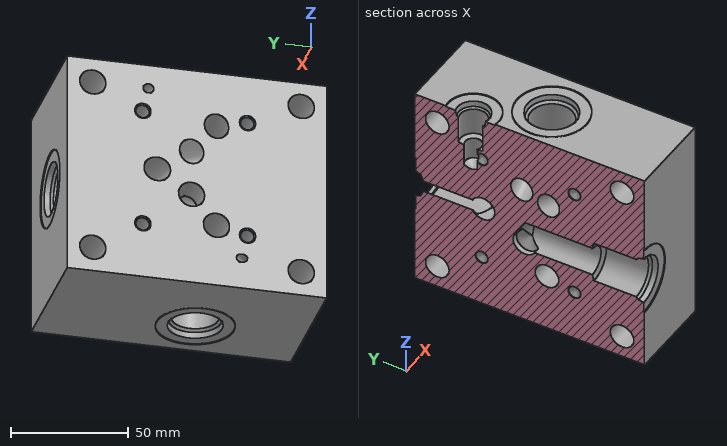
import cadquery as cq
import math

WIDTH, LENGTH, HEIGHT = 62.0, 114.3, 101.6
VALVE_FACE_X = -WIDTH / 2
FRONT_Y, BACK_Y = -LENGTH / 2, LENGTH / 2
BOTTOM_Z, TOP_Z = -HEIGHT / 2, HEIGHT / 2
INWARD = cq.Vector(1, 0, 0)

CORNER_DIAMETER = 11.4
CORNER_SPACING_Y, CORNER_SPACING_Z = 91.8, 79.2

VALVE_Y, VALVE_Z = 0.8, 1.6
BOLT_SPACING_Y, BOLT_SPACING_Z = 46.1, 54.0
BOLT_DRILL, BOLT_MOUTH = 6.0, 7.1
BOLT_DEPTH = 20.0

PASSAGE_DRILL, SLANTED_DRILL, PRESSURE_DRILL = 11.4, 10.6, 11.2
WORK_Y, WORK_SPACING_Z = 2.4, 20.6
TANK_Y, TANK_SPACING_Z = -8.6, 47.5
PRESSURE_Y = 17.5
LOWER_WORK_DEPTH, LOWER_TANK_DEPTH = 22.5, 38.9
UPPER_WORK_DEPTH, UPPER_TANK_DEPTH = 39.4, 41.1
PRESSURE_DEPTH = 29.7
UPPER_WORK_DIRECTION = cq.Vector(1, 0.075, 0.42)
UPPER_TANK_DIRECTION = cq.Vector(1, -0.04, -0.42)
PRESSURE_DIRECTION = cq.Vector(1, 0.29, 0)

UPPER_PILOT_Y, UPPER_PILOT_Z = 21.4, 39.7
UPPER_PILOT_DRILL, UPPER_PILOT_DEPTH = 4.3, 20.6
UPPER_PILOT_DIRECTION = cq.Vector(1, 0.36, -0.1)
LOWER_PILOT_Y, LOWER_PILOT_Z = -19.8, -36.5
LOWER_PILOT_DRILL, LOWER_PILOT_DEPTH = 3.9, 9.1
LOWER_PILOT_DIRECTION = cq.Vector(1, -0.75, 0)

SPOTFACE_DEPTH, SEAT_DEPTH = 0.5, 2.5
SEAT_HALF_ANGLE = math.radians(12)
DRILL_HALF_ANGLE = math.radians(59)
SHOULDER_HALF_ANGLE = math.radians(75)
LARGE_SIZES = (34.1, 23.8, 20.3)
SMALL_SIZES = (25.0, 15.7, 12.9)
LARGE_BORE_DEPTH, SMALL_BORE_DEPTH = 25.1, 17.1

FRONT_PORT_X, FRONT_PORT_Z = VALVE_FACE_X + 19.9, -4.6
FRONT_DRILL, FRONT_DRILL_DEPTH = 14.3, 59.4
TOP_PORT_X, TOP_PORT_Y = VALVE_FACE_X + 39.7, 0.8
TANK_PORT_X, TANK_PORT_Y = TOP_PORT_X, -9.4
TANK_BORE_DEPTH = 19.4
TANK_DRILL, TANK_DRILL_DEPTH = 17.1, 57.2
BACK_PORT_X, BACK_PORT_Z = VALVE_FACE_X + 29.7, VALVE_Z
BACK_BORE_DEPTH = 30.5
PILOT_PORT_X, PILOT_PORT_Y = VALVE_FACE_X + 22.3, 29.4
PILOT_PORT_DRILL, PILOT_PORT_DRILL_DEPTH = 8.0, 28.6


def point_height(radius, half_angle):
    """Height of the cone a drill of this radius leaves at the bottom of a hole."""
    return radius / math.tan(half_angle)


def revolved(start, direction, profile):
    """Solid of revolution from (radius, depth) points, depth running along direction from start."""
    solid = cq.Workplane("XZ").polyline(profile).close().revolve(360, (0, 0), (0, 1)).val()
    return solid.moved(cq.Location(cq.Plane(start, normal=direction)))


def drilled_hole(start, direction, diameter, depth):
    """Blind hole with a drill point; it also runs outwards so that a slanted one opens fully."""
    radius = diameter / 2
    tip = depth + point_height(radius, DRILL_HALF_ANGLE)
    return revolved(start, direction, [(0, -radius), (radius, -radius), (radius, depth), (0, tip)])


def valve_face_hole(y, z, direction, diameter, depth):
    return drilled_hole(cq.Vector(VALVE_FACE_X, y, z), direction, diameter, depth)


def bolt_hole(y, z):
    drill_radius, mouth_radius = BOLT_DRILL / 2, BOLT_MOUTH / 2
    chamfer = mouth_radius - drill_radius
    tip = BOLT_DEPTH + point_height(drill_radius, DRILL_HALF_ANGLE)
    profile = [(0, 0), (mouth_radius, 0), (drill_radius, chamfer), (drill_radius, BOLT_DEPTH), (0, tip)]
    return revolved(cq.Vector(VALVE_FACE_X, y, z), INWARD, profile)


def threaded_port(start, direction, sizes, bore_depth, bottom_half_angle):
    spotface_radius, seat_radius, bore_radius = (diameter / 2 for diameter in sizes)
    seat_end_radius = seat_radius - SEAT_DEPTH * math.tan(SEAT_HALF_ANGLE)
    seat_end = SPOTFACE_DEPTH + SEAT_DEPTH
    profile = [
        (0, 0),
        (spotface_radius, 0),
        (spotface_radius, SPOTFACE_DEPTH),
        (seat_radius, SPOTFACE_DEPTH),
        (seat_end_radius, seat_end),
        (bore_radius, seat_end + seat_end_radius - bore_radius),
        (bore_radius, bore_depth),
        (0, bore_depth + point_height(bore_radius, bottom_half_angle)),
    ]
    return revolved(start, direction, profile)


def bolt_holes():
    return [
        bolt_hole(VALVE_Y + side_y * BOLT_SPACING_Y / 2, VALVE_Z + side_z * BOLT_SPACING_Z / 2)
        for side_y in (-1, 1)
        for side_z in (-1, 1)
    ]


def flow_passages():
    work, tank = WORK_SPACING_Z / 2, TANK_SPACING_Z / 2
    return [
        valve_face_hole(WORK_Y, VALVE_Z - work, INWARD, PASSAGE_DRILL, LOWER_WORK_DEPTH),
        valve_face_hole(WORK_Y, VALVE_Z + work, UPPER_WORK_DIRECTION, SLANTED_DRILL, UPPER_WORK_DEPTH),
        valve_face_hole(TANK_Y, VALVE_Z - tank, INWARD, PASSAGE_DRILL, LOWER_TANK_DEPTH),
        valve_face_hole(TANK_Y, VALVE_Z + tank, UPPER_TANK_DIRECTION, SLANTED_DRILL, UPPER_TANK_DEPTH),
        valve_face_hole(PRESSURE_Y, VALVE_Z, PRESSURE_DIRECTION, PRESSURE_DRILL, PRESSURE_DEPTH),
    ]


def pilot_passages():
    upper = cq.Vector(VALVE_FACE_X, UPPER_PILOT_Y, UPPER_PILOT_Z)
    lower = cq.Vector(VALVE_FACE_X, LOWER_PILOT_Y, LOWER_PILOT_Z)
    return [
        drilled_hole(upper, UPPER_PILOT_DIRECTION, UPPER_PILOT_DRILL, UPPER_PILOT_DEPTH),
        drilled_hole(lower, LOWER_PILOT_DIRECTION, LOWER_PILOT_DRILL, LOWER_PILOT_DEPTH),
    ]


def ports():
    front = cq.Vector(FRONT_PORT_X, FRONT_Y, FRONT_PORT_Z)
    back = cq.Vector(BACK_PORT_X, BACK_Y, BACK_PORT_Z)
    top = cq.Vector(TOP_PORT_X, TOP_PORT_Y, TOP_Z)
    pilot = cq.Vector(PILOT_PORT_X, PILOT_PORT_Y, TOP_Z)
    tank = cq.Vector(TANK_PORT_X, TANK_PORT_Y, BOTTOM_Z)
    rearward, forward = cq.Vector(0, 1, 0), cq.Vector(0, -1, 0)
    down, up = cq.Vector(0, 0, -1), cq.Vector(0, 0, 1)
    return [
        threaded_port(front, rearward, LARGE_SIZES, LARGE_BORE_DEPTH, SHOULDER_HALF_ANGLE),
        drilled_hole(front, rearward, FRONT_DRILL, FRONT_DRILL_DEPTH),
        threaded_port(back, forward, LARGE_SIZES, BACK_BORE_DEPTH, DRILL_HALF_ANGLE),
        threaded_port(top, down, LARGE_SIZES, LARGE_BORE_DEPTH, DRILL_HALF_ANGLE),
        threaded_port(pilot, down, SMALL_SIZES, SMALL_BORE_DEPTH, SHOULDER_HALF_ANGLE),
        drilled_hole(pilot, down, PILOT_PORT_DRILL, PILOT_PORT_DRILL_DEPTH),
        threaded_port(tank, up, LARGE_SIZES, TANK_BORE_DEPTH, SHOULDER_HALF_ANGLE),
        drilled_hole(tank, up, TANK_DRILL, TANK_DRILL_DEPTH),
    ]


result = (
    cq.Workplane()
    .box(WIDTH, LENGTH, HEIGHT)
    .faces("<X")
    .workplane()
    .rect(CORNER_SPACING_Y, CORNER_SPACING_Z, forConstruction=True)
    .vertices()
    .hole(CORNER_DIAMETER)
)
for cutter in bolt_holes() + flow_passages() + pilot_passages() + ports():
    result = result.cut(cutter)